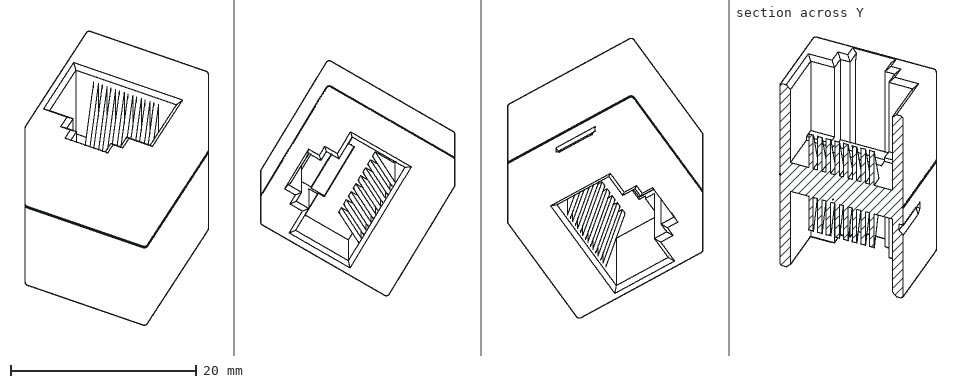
import cadquery as cq
import math

WIDTH = 14.6
DEPTH = 16.1
HEIGHT = 25.0
EDGE_RADIUS = 0.4

GROOVE_HEIGHT = 0.15
GROOVE_DEPTH = 0.1

CAVITY_WIDTH = 12.0
CAVITY_BACK = 2.38
CAVITY_FRONT = -4.25
KEYWAY_WIDTH = 6.4
KEYWAY_FRONT = -5.82
LATCH_WIDTH = 4.1
LATCH_FRONT = -7.22
MOUTH_CHAMFER = 0.5

LATCH_LEAN_ANGLE = 14.6
LATCH_MOUTH_FRONT = EDGE_RADIUS - DEPTH / 2

FLOOR_Z = 2.0
FLOOR_STEP = 0.5
LEDGE_BACK = -3.1
KEYWAY_FLOOR_BACK = -2.3
KEYWAY_STEP_BACK = -3.95

CONTACT_COUNT = 8
CONTACT_PITCH = 1.02
CONTACT_WIDTH = 0.58
CONTACT_TOP_Z = 11.1
CONTACT_TIP_Y = -0.1

RECESS_LENGTH = 5.0
RECESS_CENTER_Y = -0.8
RECESS_TOP_Z = -2.45
RECESS_HEIGHT = 1.3
RECESS_DEPTH = 0.5

TOP_Z = HEIGHT / 2


def block(width, front, back, bottom, top):
    """Box centred on X, given by its limits along Y and Z."""
    return cq.Workplane("XY").box(width, back - front, top - bottom).translate(
        (0, (front + back) / 2, (bottom + top) / 2)
    )


def flare(width, front, back):
    """Mouth bevel at 45 degrees around a rectangular opening."""
    center_y = (front + back) / 2
    return (
        cq.Workplane("XY", origin=(0, center_y, TOP_Z))
        .rect(width + 2 * MOUTH_CHAMFER, back - front + 2 * MOUTH_CHAMFER)
        .workplane(offset=-MOUTH_CHAMFER)
        .rect(width, back - front)
        .loft()
    )


def latch_slot():
    """Upper half of the through slot, with flared sides and a leaning front wall at its mouth."""
    lean_height = (LATCH_FRONT - LATCH_MOUTH_FRONT) / math.tan(math.radians(LATCH_LEAN_ANGLE))
    through = block(LATCH_WIDTH, LATCH_FRONT, KEYWAY_FRONT, 0, TOP_Z)
    half_width = LATCH_WIDTH / 2
    flared_sides = (
        cq.Workplane("XZ", origin=(0, KEYWAY_FRONT, 0))
        .polyline([
            (-half_width, 0),
            (-half_width, TOP_Z - MOUTH_CHAMFER),
            (-half_width - MOUTH_CHAMFER, TOP_Z),
            (half_width + MOUTH_CHAMFER, TOP_Z),
            (half_width, TOP_Z - MOUTH_CHAMFER),
            (half_width, 0),
        ])
        .close()
        .extrude(KEYWAY_FRONT - LATCH_MOUTH_FRONT)
    )
    leaning_front = (
        cq.Workplane("YZ")
        .polyline([
            (LATCH_MOUTH_FRONT, TOP_Z),
            (LATCH_FRONT, TOP_Z - lean_height),
            (LATCH_FRONT, 0),
            (KEYWAY_FRONT, 0),
            (KEYWAY_FRONT, TOP_Z),
        ])
        .close()
        .extrude(WIDTH / 2, both=True)
    )
    return through.union(flared_sides.intersect(leaning_front))


def contacts():
    """Row of wires, each a thin wedge between the back wall and the cavity floor."""
    row = cq.Workplane("XY")
    for index in range(CONTACT_COUNT):
        center_x = (index - (CONTACT_COUNT - 1) / 2) * CONTACT_PITCH
        wire = (
            cq.Workplane("YZ", origin=(center_x, 0, 0))
            .polyline([(CAVITY_BACK, CONTACT_TOP_Z), (CONTACT_TIP_Y, FLOOR_Z), (CAVITY_BACK, FLOOR_Z)])
            .close()
            .extrude(CONTACT_WIDTH / 2, both=True)
        )
        row = row.union(wire)
    return row


def jack():
    """Hollow of the top jack, with the contacts left standing."""
    keyway_floor = FLOOR_Z - FLOOR_STEP
    hollow = block(CAVITY_WIDTH, LEDGE_BACK, CAVITY_BACK, FLOOR_Z, TOP_Z)
    hollow = hollow.union(block(CAVITY_WIDTH, CAVITY_FRONT, LEDGE_BACK, FLOOR_Z + FLOOR_STEP, TOP_Z))
    hollow = hollow.union(block(KEYWAY_WIDTH, KEYWAY_STEP_BACK, KEYWAY_FLOOR_BACK, keyway_floor, TOP_Z))
    hollow = hollow.union(
        block(KEYWAY_WIDTH, KEYWAY_FRONT, KEYWAY_STEP_BACK, keyway_floor - FLOOR_STEP, TOP_Z)
    )
    hollow = hollow.union(flare(CAVITY_WIDTH, CAVITY_FRONT, CAVITY_BACK))
    hollow = hollow.union(flare(KEYWAY_WIDTH, KEYWAY_FRONT, CAVITY_FRONT))
    return hollow.cut(contacts())


def groove():
    """Shallow ring around the body where the two halves meet."""
    ring = cq.Workplane("XY").box(WIDTH, DEPTH, GROOVE_HEIGHT)
    core = (
        cq.Workplane("XY")
        .box(WIDTH - 2 * GROOVE_DEPTH, DEPTH - 2 * GROOVE_DEPTH, GROOVE_HEIGHT)
        .edges("|Z")
        .fillet(EDGE_RADIUS - GROOVE_DEPTH)
    )
    return ring.cut(core)


def side_recess():
    """Recess with clipped lower corners and a floor sloping up to its inner wall."""
    outer_x = -WIDTH / 2
    inner_x = outer_x + RECESS_DEPTH
    bottom_z = RECESS_TOP_Z - RECESS_HEIGHT
    slope_top_z = bottom_z + RECESS_DEPTH
    pocket = (
        cq.Workplane("YZ", origin=(outer_x, RECESS_CENTER_Y, 0))
        .polyline([
            (-RECESS_LENGTH / 2, RECESS_TOP_Z),
            (RECESS_LENGTH / 2, RECESS_TOP_Z),
            (RECESS_LENGTH / 2, slope_top_z),
            (RECESS_LENGTH / 2 - RECESS_DEPTH, bottom_z),
            (RECESS_DEPTH - RECESS_LENGTH / 2, bottom_z),
            (-RECESS_LENGTH / 2, slope_top_z),
        ])
        .close()
        .extrude(RECESS_DEPTH)
    )
    sloped_floor = (
        cq.Workplane("XZ")
        .polyline([(outer_x, bottom_z), (inner_x, bottom_z), (inner_x, slope_top_z)])
        .close()
        .extrude(DEPTH / 2, both=True)
    )
    return pocket.cut(sloped_floor)


body = cq.Workplane("XY").box(WIDTH, DEPTH, HEIGHT).edges().fillet(EDGE_RADIUS)
body = body.cut(groove()).cut(side_recess())

for opening in (jack(), latch_slot()):
    body = body.cut(opening).cut(opening.mirror("XY"))

result = body